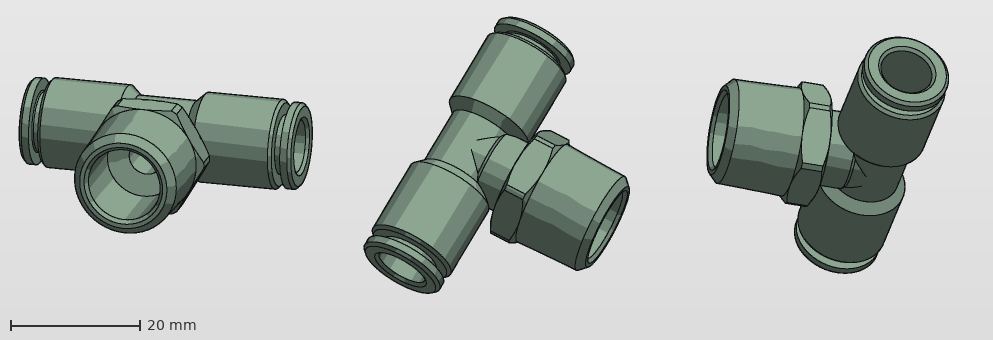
import cadquery as cq
import math


run_length = 43.6
body_dia = 14.0
body_outer_x = 18.75
body_inner_x = 6.25
body_chamfer = 0.5
waist_dia = 11.1
waist_half_length = 4.65
tube_bore_dia = 8.15
mouth_chamfer = 0.5

collar_dia = 13.5
collar_thickness = 1.65
collar_chamfer = 0.5
neck_dia = 9.3
neck_root_chamfer = 0.2

stem_dia = 11.8
stem_step_start = 3.5
stem_step_end = 4.0
stem_end_chamfer = 0.45

hex_start = 8.5
hex_thickness = 4.5
hex_sides = 6
hex_across_flats = 17.0
hex_corner_dia = 19.1
hex_chamfer_angle = 30.0

branch_reach = 24.5
thread_base_dia = 17.0
thread_taper = 1.0 / 16.0
thread_tip_dia = 14.0
thread_tip_length = 1.2

branch_bore_dia = 11.5
branch_mouth_chamfer = 0.55
branch_bore_end = 13.0
drill_point_angle = 118.0
orifice_dia = 5.5

nose_dia = 7.6
nose_tip = 0.8
nose_tip_dia = 6.8
nose_tip_chamfer = 0.15
nose_undercut_start = 2.1
nose_undercut_depth = 0.4
stop_floor = 2.5

hex_end = hex_start + hex_thickness


def revolve_about_x(points):
    """Revolve an (x, radius) profile about the X axis."""
    return cq.Workplane("XY").polyline(points).close().revolve(360, (0, 0, 0), (1, 0, 0))


def revolve_about_branch(points):
    """Revolve a (radius, distance from the run axis) profile about the Y axis."""
    profile = [(radius, -distance) for radius, distance in points]
    return cq.Workplane("XY").polyline(profile).close().revolve(360, (0, 0, 0), (0, 1, 0))


def make_run():
    end_x = run_length / 2
    collar_back_x = end_x - collar_thickness
    body_r = body_dia / 2
    collar_r = collar_dia / 2
    neck_r = neck_dia / 2
    waist_r = waist_dia / 2
    half_profile = [
        (waist_half_length, waist_r),
        (body_inner_x, body_r),
        (body_outer_x - body_chamfer, body_r),
        (body_outer_x, body_r - body_chamfer),
        (body_outer_x, neck_r),
        (collar_back_x - neck_root_chamfer, neck_r),
        (collar_back_x, neck_r + neck_root_chamfer),
        (collar_back_x, collar_r),
        (end_x - collar_chamfer, collar_r),
        (end_x, collar_r - collar_chamfer),
        (end_x, 0),
    ]
    mirrored = [(-x, radius) for x, radius in reversed(half_profile)]
    return revolve_about_x(mirrored + half_profile)


def make_stem():
    waist_r = waist_dia / 2
    stem_r = stem_dia / 2
    return revolve_about_branch([
        (0, 0),
        (waist_r, 0),
        (waist_r, stem_step_start),
        (stem_r, stem_step_end),
        (stem_r, hex_start - stem_end_chamfer),
        (stem_r - stem_end_chamfer, hex_start),
        (0, hex_start),
    ])


def make_hexagon():
    flat_r = hex_across_flats / 2
    corner_r = hex_corner_dia / 2
    corner_drop = (corner_r - flat_r) * math.tan(math.radians(hex_chamfer_angle))
    sharp_corner_r = flat_r / math.cos(math.pi / hex_sides)
    corner_angles = [2 * math.pi * side / hex_sides for side in range(hex_sides)]
    corners = [(sharp_corner_r * math.cos(a), sharp_corner_r * math.sin(a)) for a in corner_angles]
    hex_plane = cq.Workplane("XZ", origin=(0, -hex_start, 0))
    prism = hex_plane.polyline(corners).close().extrude(hex_thickness)
    turned_blank = revolve_about_branch([
        (0, hex_start),
        (flat_r, hex_start),
        (corner_r, hex_start + corner_drop),
        (corner_r, hex_end - corner_drop),
        (flat_r, hex_end),
        (0, hex_end),
    ])
    return prism.intersect(turned_blank)


def make_thread_envelope():
    taper_end = branch_reach - thread_tip_length
    taper_end_dia = thread_base_dia - thread_taper * (taper_end - hex_end)
    return revolve_about_branch([
        (0, hex_end),
        (thread_base_dia / 2, hex_end),
        (taper_end_dia / 2, taper_end),
        (thread_tip_dia / 2, branch_reach),
        (0, branch_reach),
    ])


def make_run_passage():
    """Through bore of the run, left solid below the stop floor between the sockets."""
    end_x = run_length / 2
    bore_r = tube_bore_dia / 2
    mouth_r = bore_r + mouth_chamfer
    bore = revolve_about_x([
        (-end_x, 0),
        (-end_x, mouth_r),
        (-end_x + mouth_chamfer, bore_r),
        (end_x - mouth_chamfer, bore_r),
        (end_x, mouth_r),
        (end_x, 0),
    ])
    stop_plane = cq.Workplane("XZ", origin=(0, -stop_floor, 0))
    tube_stop = stop_plane.rect(2 * waist_half_length, tube_bore_dia).extrude(bore_r)
    return bore.cut(tube_stop)


def make_nose():
    """Flared nose standing on the stop floor: widens from its tip, then undercuts at its foot."""
    nose_r = nose_dia / 2
    tip_r = nose_tip_dia / 2
    return revolve_about_branch([
        (0, nose_tip),
        (tip_r - nose_tip_chamfer, nose_tip),
        (tip_r, nose_tip + nose_tip_chamfer),
        (nose_r, nose_undercut_start),
        (nose_r - nose_undercut_depth, stop_floor),
        (0, stop_floor),
    ])


def make_branch_bore():
    bore_r = branch_bore_dia / 2
    orifice_r = orifice_dia / 2
    cone_length = (bore_r - orifice_r) / math.tan(math.radians(drill_point_angle / 2))
    return revolve_about_branch([
        (0, 0),
        (orifice_r, 0),
        (orifice_r, branch_bore_end - cone_length),
        (bore_r, branch_bore_end),
        (bore_r, branch_reach - branch_mouth_chamfer),
        (bore_r + branch_mouth_chamfer, branch_reach),
        (0, branch_reach),
    ])


outer = make_run().union(make_stem()).union(make_hexagon()).union(make_thread_envelope())
result = outer.cut(make_run_passage()).union(make_nose()).cut(make_branch_bore())